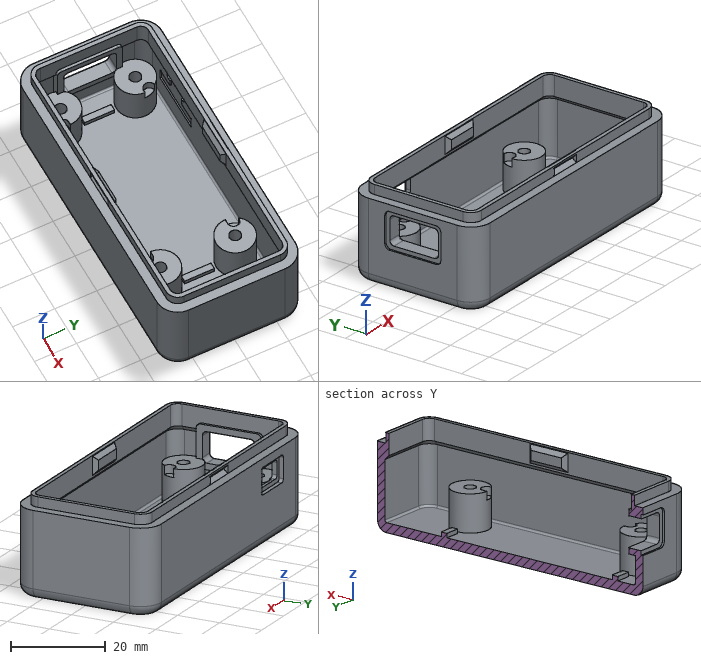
import cadquery as cq

length = 71.0
width = 32.9
height = 22.4
corner_radius = 5.0
bottom_fillet = 2.5

wall = 2.1
floor = 2.35
floor_fillet = 0.5
lip_height = 2.35
lip_inset = 2.2
lip_wall = 1.0
lip_ramp_top = 17.4
ledge = height - lip_height
inner_inset = lip_inset + lip_wall
lip_ramp = inner_inset - wall
lip_outer_y = width / 2 - lip_inset
lip_inner_y = width / 2 - inner_inset
wall_inner_y = width / 2 - wall

boss_diameter = 9.0
boss_hole = 2.7
boss_top = 11.1
boss_spacing_y = 17.75
boss_columns = ((-28.05, 1, 3.8), (17.6, -1, 3.4))
notch_width = 2.7
notch_length = boss_diameter
notch_depth = 2.0

rib_width = 1.55
rib_length = 7.1
rib_height = 1.0

snap_length = 8.1
snap_pocket_top = 21.95
snap_pocket_depth = 1.1
bump_depth = 0.9
bump_taper = 1.0
bump_base_length = 10.1
bump_base_height = 4.25

port_width = 12.5
port_bottom = 10.4
port_top = 17.4
port_radius = 1.1
port_frame = 1.0
port_frame_depth = 0.5
port_frame_radius = 1.3
port_pad_width = 15.5
port_pad_radius = 1.1
port_pad_depth = 3.9
port_height = port_top - port_bottom
port_z = (port_top + port_bottom) / 2
port_pad_height = port_height + port_pad_width - port_width

window_x = -20.1
window_width = 7.8
window_bottom = 12.85
window_top = 17.05
window_radius = 0.7
window_frame = 1.0
window_frame_depth = 1.0
relief_width = 14.05
relief_bottom = 8.2
relief_top = boss_top
relief_depth = 0.35
neck_width = 5.25


def rounded_block(inset, radius, bottom, top):
    """Upright block with rounded corners, inset evenly from the outer body."""
    return (
        cq.Workplane("XY", origin=(0, 0, bottom))
        .rect(length - 2 * inset, width - 2 * inset)
        .extrude(top - bottom)
        .edges("|Z")
        .fillet(radius)
    )


def wall_block_x(x_start, depth, size_y, size_z, z, radius):
    """Rounded rectangle on the XZ symmetry plane, reaching from x_start along +X."""
    return (
        cq.Workplane("YZ", origin=(x_start, 0, z))
        .rect(size_y, size_z)
        .extrude(depth)
        .edges("|X")
        .fillet(radius)
    )


def wall_block_y(y_start, depth, size_x, bottom, top):
    """Block centred on the side window, reaching from y_start along +Y."""
    return (
        cq.Workplane("XZ", origin=(window_x, y_start, (bottom + top) / 2))
        .rect(size_x, top - bottom)
        .extrude(-depth)
    )


def make_shell():
    body = rounded_block(0, corner_radius, 0, ledge).faces("<Z").edges().fillet(bottom_fillet)
    lip = rounded_block(lip_inset, corner_radius - lip_inset, ledge - wall, height)
    chamber = rounded_block(wall, corner_radius - wall, floor, lip_ramp_top)
    chamber = chamber.faces("<Z").edges().fillet(floor_fillet)
    chamber = chamber.faces(">Z").edges().chamfer(lip_ramp)
    mouth = rounded_block(inner_inset, corner_radius - inner_inset, floor + floor_fillet, height)
    return body.union(lip).cut(chamber).cut(mouth)


def make_boss(x, y_side, notch_side, notch_offset):
    """Round boss with a slot in its top whose inner flank lies level with the boss axis."""
    y = y_side * boss_spacing_y / 2
    boss = cq.Workplane("XY", origin=(x, y, floor / 2)).circle(boss_diameter / 2)
    boss = boss.extrude(boss_top - floor / 2)
    slot_x = x + notch_side * (notch_offset + (notch_length - notch_width) / 2)
    slot_y = y + y_side * notch_width / 2
    notch = cq.Workplane("XY", origin=(slot_x, slot_y, boss_top - notch_depth))
    notch = notch.slot2D(notch_length, notch_width).extrude(notch_depth)
    return boss.cut(notch)


def add_bosses(part):
    for x, notch_side, notch_offset in boss_columns:
        for y_side in (-1, 1):
            part = part.union(make_boss(x, y_side, notch_side, notch_offset))
    return part


def cut_boss_holes(part):
    for x, _, _ in boss_columns:
        for y in (-boss_spacing_y / 2, boss_spacing_y / 2):
            hole = cq.Workplane("XY", origin=(x, y, 0)).circle(boss_hole / 2)
            part = part.cut(hole.extrude(boss_top))
    return part


def add_ribs(part):
    for x, _, _ in boss_columns:
        rib = cq.Workplane("XY", origin=(x, 0, floor / 2)).rect(rib_width, rib_length)
        part = part.union(rib.extrude(floor / 2 + rib_height))
    return part


def add_snaps(part):
    bump = (
        cq.Workplane("XZ", origin=(0, -lip_inner_y, ledge))
        .rect(bump_base_length, bump_base_height)
        .workplane(offset=-bump_depth)
        .rect(bump_base_length - 2 * bump_taper, bump_base_height - 2 * bump_taper)
        .loft(ruled=True)
    )
    pocket = (
        cq.Workplane("YZ", origin=(-snap_length / 2, 0, 0))
        .moveTo(-lip_outer_y, ledge)
        .lineTo(-lip_outer_y, snap_pocket_top)
        .lineTo(-lip_outer_y + snap_pocket_depth, snap_pocket_top - snap_pocket_depth)
        .close()
        .extrude(snap_length)
    )
    part = part.union(bump).union(bump.mirror("XZ"))
    return part.cut(pocket).cut(pocket.mirror("XZ"))


def add_port(part):
    outer_x = -length / 2
    pad = wall_block_x(
        outer_x + wall / 2, port_pad_depth - wall / 2, port_pad_width, port_pad_height, port_z,
        port_pad_radius,
    )
    frame = wall_block_x(
        outer_x, port_frame_depth, port_width + 2 * port_frame, port_height + 2 * port_frame, port_z,
        port_frame_radius,
    )
    opening = wall_block_x(outer_x, port_pad_depth, port_width, port_height, port_z, port_radius)
    return part.union(pad).cut(frame).cut(opening)


def cut_window(part):
    opening = wall_block_y(wall_inner_y, wall, window_width, window_bottom, window_top)
    opening = opening.edges("|Y").fillet(window_radius)
    frame = wall_block_y(
        width / 2 - window_frame_depth, window_frame_depth, window_width + 2 * window_frame,
        window_bottom - window_frame, window_top + window_frame,
    )
    frame = frame.edges("|Y").fillet(window_radius)
    relief = wall_block_y(wall_inner_y, relief_depth, relief_width, relief_bottom, relief_top)
    neck = wall_block_y(wall_inner_y, relief_depth, neck_width, relief_top, window_bottom)
    return part.cut(opening).cut(frame).cut(relief).cut(neck)


result = make_shell()
result = add_bosses(result)
result = add_ribs(result)
result = add_port(result)
result = add_snaps(result)
result = cut_window(result)
result = cut_boss_holes(result)